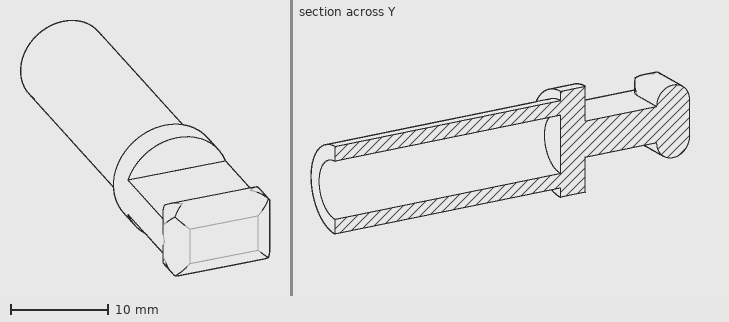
import cadquery as cq

total_length = 42.5
collar_diameter = 11.6
tube_diameter = 9.6
bore_diameter = 6.35
tube_length = 27.0
collar_length = 3.0
head_thickness = 4.0
head_height = 2 * head_thickness
neck_thickness = head_thickness

bore_depth = tube_length
neck_start = tube_length + collar_length
head_radius = head_thickness / 2
head_center = total_length - head_radius
head_width = collar_diameter


def cylinder(start, length, diameter):
    """Solid cylinder along X."""
    return cq.Workplane("YZ", origin=(start, 0, 0)).circle(diameter / 2).extrude(length)


def make_neck():
    """Round bar with flats above and below, ending at the middle of the head."""
    length = head_center - neck_start
    flats = cq.Workplane("XY").box(length, collar_diameter, neck_thickness)
    flats = flats.translate((neck_start + length / 2, 0, 0))
    return cylinder(neck_start, length, collar_diameter).intersect(flats)


def rounded_block(edge_direction):
    """Head block rounded only on the edges running in one direction."""
    if edge_direction == "Y":
        profile = cq.Workplane("XZ").slot2D(head_height, head_thickness, 90)
        return profile.extrude(head_width / 2, both=True)
    if edge_direction == "Z":
        profile = cq.Workplane("XY").slot2D(head_width, head_thickness, 90)
        return profile.extrude(head_height / 2, both=True)
    block = cq.Workplane("XY").box(head_thickness, head_width, head_height)
    return block.edges("|X").fillet(head_radius)


def make_head():
    """Crossbar whose three sets of rounded edges meet in mitred corners."""
    head = rounded_block("X").intersect(rounded_block("Y")).intersect(rounded_block("Z"))
    return head.translate((head_center, 0, 0))


tube = cylinder(0, tube_length, tube_diameter)
collar = cylinder(tube_length, collar_length, collar_diameter)
bore = cylinder(0, bore_depth, bore_diameter)

result = tube.union(collar).union(make_neck()).union(make_head()).cut(bore)